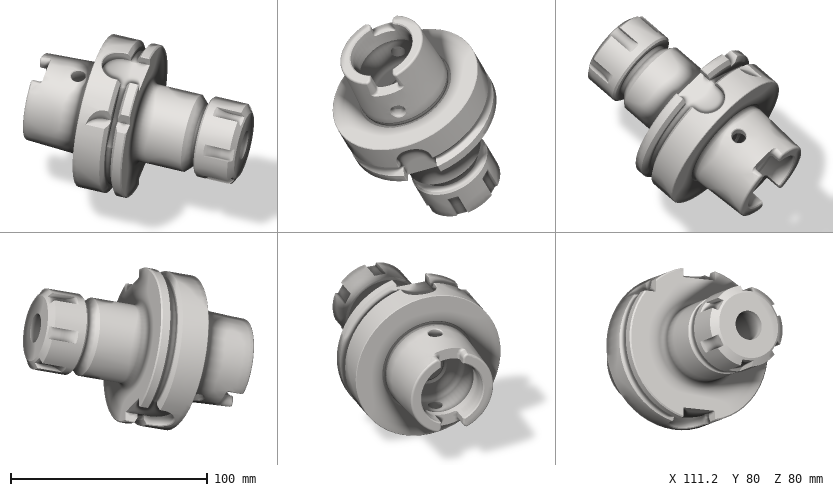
import cadquery as cq
import math


TOLERANCE = 0.01

SHANK_END_RADIUS = 22.7
SHANK_ROUNDING = 1.1
TAPER_END_X = 29.8
TAPER_SLOPE = 0.05
NECK_X = 30.5
NECK_RADIUS = 23.9
UNDERCUT_X = 31.7
UNDERCUT_DEPTH = 0.5
UNDERCUT_RADIUS = 23.7
UNDERCUT_FLOOR_RADIUS = 24.8
UNDERCUT_RIM_RADIUS = 25.4

FLANGE_X = 32.0
FLANGE_END_X = 58.1
FLANGE_RADIUS = 80.0 / 2
FLANGE_CHAMFER_FRONT = 0.3
FLANGE_CHAMFER_BACK = 0.7
GROOVE_RADIUS = 34.9
GROOVE_FLANK_RADIUS = 37.3
GROOVE_X = 48.1
GROOVE_WIDTH = 3.6
GROOVE_FLANK_LENGTH = 1.7

BODY_RADIUS = 20.2
BODY_FILLET = 2.9
BODY_END_X = 83.9
NOSE_X = 88.1
NOSE_RADIUS = 32.0 / 2
NOSE_END_X = 106.8

SHANK_BORE_RADIUS = 34.0 / 2
SHANK_BORE_DEPTH = 30.0
SHANK_BORE_CHAMFER = 0.6
CLAMP_GROOVE_X = 12.9
CLAMP_GROOVE_RADIUS = 18.5
CLAMP_CONE_ANGLE = 45
SHANK_BORE_FILLET = 2.7
SCREW_RADIUS = 16.9 / 2
SCREW_COUNTERSINK = 0.9
THROUGH_RADIUS = 15.1 / 2

CROSS_HOLE_X = 22.8
CROSS_HOLE_RADIUS = 7.5 / 2
CROSS_HOLE_CHAMFER = 0.5
DRIVE_SLOT_HALF_WIDTH = 6.0
DRIVE_SLOT_DEPTH_TOP = 5.9
DRIVE_SLOT_DEPTH_BOTTOM = 9.8
DRIVE_SLOT_FLARE = 2.7
DRIVE_SLOT_FILLET = 1.3

CUTOUT_CENTRE_X = 44.8
KEY_SLOT_HALF_WIDTH = 9.0
KEY_SLOT_FLOOR = 33.9
KEY_SLOT_CHAMFER = 0.5
NOTCH_FLOOR_Z = 24.8
NOTCH_WALL_Y = -24.9
NOTCH_RADIUS = 8.7
FLAT_START_Y = -9.5
FLAT_END_Z = 12.8

NUT_X = 90.5
NUT_END_X = 111.2
NUT_RADIUS = 41.9 / 2
NUT_CHAMFER = 1.0
NUT_CONE_X = 108.7
NUT_END_RADIUS = 17.0
NUT_SLOT_COUNT = 6
NUT_SLOT_WIDTH = 6.3
NUT_SLOT_FLOOR = 18.0
NUT_SLOT_START_X = 95.3
NUT_SLOT_FLAT_X = 103.1

SCREW_LENGTH = 16.0
HEX_ACROSS_FLATS = 5.0
HEX_SIDES = 6

SCREW_X = SHANK_BORE_DEPTH + SCREW_COUNTERSINK
SCREW_END_X = SCREW_X + SCREW_LENGTH


def revolve_about_x(profile):
    """Turn a closed profile drawn as (x, radius) about the X axis."""
    return profile.close().revolve(360, (0, 0, 0), (1, 0, 0))


def cylinder_x(radius, start_x, end_x):
    return cq.Workplane("YZ", origin=(start_x, 0, 0)).circle(radius).extrude(end_x - start_x)


def taper_radius(x):
    return SHANK_END_RADIUS + TAPER_SLOPE * x


def select_edges(body, condition):
    return body.newObject([edge for edge in body.edges().vals() if condition(edge)])


def holder_blank():
    rounding_end_radius = taper_radius(SHANK_ROUNDING)
    groove_end_x = GROOVE_X + GROOVE_WIDTH
    undercut_x = FLANGE_X + UNDERCUT_DEPTH
    profile = (
        cq.Workplane("XY")
        .moveTo(0, 0)
        .lineTo(0, rounding_end_radius - SHANK_ROUNDING)
        .radiusArc((SHANK_ROUNDING, rounding_end_radius), SHANK_ROUNDING)
        .lineTo(TAPER_END_X, taper_radius(TAPER_END_X))
        .lineTo(NECK_X, NECK_RADIUS)
        .lineTo(UNDERCUT_X, NECK_RADIUS)
        .lineTo(undercut_x, UNDERCUT_RADIUS)
        .lineTo(undercut_x, UNDERCUT_FLOOR_RADIUS)
        .lineTo(FLANGE_X, UNDERCUT_RIM_RADIUS)
        .lineTo(FLANGE_X, FLANGE_RADIUS - FLANGE_CHAMFER_FRONT)
        .lineTo(FLANGE_X + FLANGE_CHAMFER_FRONT, FLANGE_RADIUS)
        .lineTo(GROOVE_X - GROOVE_FLANK_LENGTH, FLANGE_RADIUS)
        .lineTo(GROOVE_X, GROOVE_FLANK_RADIUS)
        .lineTo(GROOVE_X, GROOVE_RADIUS)
        .lineTo(groove_end_x, GROOVE_RADIUS)
        .lineTo(groove_end_x, GROOVE_FLANK_RADIUS)
        .lineTo(groove_end_x + GROOVE_FLANK_LENGTH, FLANGE_RADIUS)
        .lineTo(FLANGE_END_X - FLANGE_CHAMFER_BACK, FLANGE_RADIUS)
        .lineTo(FLANGE_END_X, FLANGE_RADIUS - FLANGE_CHAMFER_BACK)
        .lineTo(FLANGE_END_X, BODY_RADIUS + BODY_FILLET)
        .radiusArc((FLANGE_END_X + BODY_FILLET, BODY_RADIUS), -BODY_FILLET)
        .lineTo(BODY_END_X, BODY_RADIUS)
        .lineTo(NOSE_X, NOSE_RADIUS)
        .lineTo(NOSE_END_X, NOSE_RADIUS)
        .lineTo(NOSE_END_X, 0)
    )
    return revolve_about_x(profile)


def holder_bore():
    """Shank bore with clamping groove, countersunk screw seat and through bore as one cutter."""
    groove_depth = CLAMP_GROOVE_RADIUS - SHANK_BORE_RADIUS
    cone_length = groove_depth / math.tan(math.radians(CLAMP_CONE_ANGLE))
    profile = (
        cq.Workplane("XY")
        .moveTo(0, 0)
        .lineTo(0, SHANK_BORE_RADIUS + SHANK_BORE_CHAMFER)
        .lineTo(SHANK_BORE_CHAMFER, SHANK_BORE_RADIUS)
        .lineTo(CLAMP_GROOVE_X, SHANK_BORE_RADIUS)
        .lineTo(CLAMP_GROOVE_X + cone_length, CLAMP_GROOVE_RADIUS)
        .lineTo(SHANK_BORE_DEPTH - SHANK_BORE_FILLET, CLAMP_GROOVE_RADIUS)
        .radiusArc((SHANK_BORE_DEPTH, CLAMP_GROOVE_RADIUS - SHANK_BORE_FILLET), SHANK_BORE_FILLET)
        .lineTo(SHANK_BORE_DEPTH, SCREW_RADIUS + SCREW_COUNTERSINK)
        .lineTo(SCREW_X, SCREW_RADIUS)
        .lineTo(SCREW_END_X, SCREW_RADIUS)
        .lineTo(SCREW_END_X, THROUGH_RADIUS)
        .lineTo(NOSE_END_X, THROUGH_RADIUS)
        .lineTo(NOSE_END_X, 0)
    )
    return revolve_about_x(profile)


def drill_cross_hole(holder):
    """Radial hole through both shank walls, chamfered at the outer surface."""
    half_length = FLANGE_RADIUS
    hole = (
        cq.Workplane("XY", origin=(CROSS_HOLE_X, 0, -half_length))
        .circle(CROSS_HOLE_RADIUS)
        .extrude(2 * half_length)
    )
    holder = holder.cut(hole)

    def is_outer_rim(edge):
        box = edge.BoundingBox()
        centred = abs(box.center.x - CROSS_HOLE_X) < TOLERANCE and box.ylen > CROSS_HOLE_RADIUS
        hole_sized = box.xlen < 2 * CROSS_HOLE_RADIUS + TOLERANCE
        return centred and hole_sized and abs(box.center.z) > CLAMP_GROOVE_RADIUS + CROSS_HOLE_CHAMFER

    return select_edges(holder, is_outer_rim).chamfer(CROSS_HOLE_CHAMFER)


def is_slot_wall_edge(edge, x, limit_y):
    """True for the edges of the slot walls that lie at the given x."""
    box = edge.BoundingBox()
    middle_y = abs(edge.positionAt(0.5).y)
    at_x = abs(box.xmin - x) < TOLERANCE and box.xlen < TOLERANCE
    on_wall = DRIVE_SLOT_HALF_WIDTH - TOLERANCE < middle_y < limit_y - TOLERANCE
    return at_x and on_wall


def drive_slot(side, depth):
    """Slot in the shank end with flared walls; side is +1 for the +Z wall and -1 for the -Z wall."""
    half = DRIVE_SLOT_HALF_WIDTH
    flare = DRIVE_SLOT_FLARE
    flare_y = half + flare
    flare_z = math.sqrt((taper_radius(depth) - flare) ** 2 - flare_y ** 2)
    tip_angle = math.atan2(flare_z, flare_y)
    middle_angle = (math.pi + tip_angle) / 2

    def on_flare(angle):
        return (flare_y + flare * math.cos(angle), side * (flare_z + flare * math.sin(angle)))

    tip_y, tip_z = on_flare(tip_angle)
    runout_y = tip_y + flare * math.sin(tip_angle)
    runout_z = tip_z - side * flare * math.cos(tip_angle)
    outer_z = side * FLANGE_RADIUS
    half_slot = (
        cq.Workplane("YZ")
        .lineTo(half, 0)
        .lineTo(half, side * flare_z)
        .threePointArc(on_flare(middle_angle), (tip_y, tip_z))
        .lineTo(runout_y, runout_z)
        .lineTo(runout_y, outer_z)
        .lineTo(0, outer_z)
        .close()
        .extrude(depth)
    )
    slot = half_slot.union(half_slot.mirror("XZ"))
    slot = select_edges(slot, lambda edge: is_slot_wall_edge(edge, depth, runout_y))
    slot = slot.fillet(DRIVE_SLOT_FILLET)
    outside = cq.Workplane("YZ").rect(2 * FLANGE_RADIUS, 2 * FLANGE_RADIUS).extrude(-SHANK_ROUNDING)
    slot = slot.union(outside)
    slot = select_edges(slot, lambda edge: is_slot_wall_edge(edge, 0, runout_y))
    return slot.fillet(SHANK_ROUNDING)


def flange_slot(half_width, floor, side, centre_y):
    """Round-ended cutter open towards +X, cut down to a flat floor."""
    return (
        cq.Workplane("XY", origin=(CUTOUT_CENTRE_X, centre_y, side * floor))
        .moveTo(0, half_width)
        .threePointArc((-half_width, 0), (0, -half_width))
        .lineTo(FLANGE_END_X - CUTOUT_CENTRE_X, -half_width)
        .lineTo(FLANGE_END_X - CUTOUT_CENTRE_X, half_width)
        .close()
        .extrude(side * FLANGE_RADIUS)
    )


def groove_flat():
    """Cutter for the flat on the groove bottom between the key slot and the notch."""
    start = (FLAT_START_Y, math.sqrt(GROOVE_RADIUS ** 2 - FLAT_START_Y ** 2))
    end = (-math.sqrt(GROOVE_RADIUS ** 2 - FLAT_END_Z ** 2), FLAT_END_Z)
    return (
        cq.Workplane("YZ", origin=(GROOVE_X, 0, 0))
        .moveTo(*start)
        .lineTo(*end)
        .radiusArc(start, GROOVE_RADIUS)
        .close()
        .extrude(GROOVE_WIDTH)
    )


def is_key_slot_rim(edge):
    """True for the edges where a key slot wall meets the flange rim cylinder."""
    middle = edge.positionAt(0.5)
    box = edge.BoundingBox()
    on_rim = abs(math.hypot(middle.y, middle.z) - FLANGE_RADIUS) < TOLERANCE
    return on_rim and box.xlen > TOLERANCE and abs(middle.y) < KEY_SLOT_HALF_WIDTH + TOLERANCE


def make_holder():
    holder = holder_blank()
    for side in (1, -1):
        holder = holder.cut(flange_slot(KEY_SLOT_HALF_WIDTH, KEY_SLOT_FLOOR, side, 0))
    holder = select_edges(holder, is_key_slot_rim).chamfer(KEY_SLOT_CHAMFER)
    holder = holder.cut(flange_slot(NOTCH_RADIUS, NOTCH_FLOOR_Z, 1, NOTCH_WALL_Y - NOTCH_RADIUS))
    holder = holder.cut(groove_flat())
    holder = holder.cut(drive_slot(1, DRIVE_SLOT_DEPTH_TOP))
    holder = holder.cut(drive_slot(-1, DRIVE_SLOT_DEPTH_BOTTOM))
    return drill_cross_hole(holder.cut(holder_bore()))


def nut_slot():
    """Spanner slot at +Z: a flat floor that runs out in an arc."""
    rise = NUT_RADIUS - NUT_SLOT_FLOOR
    run = NUT_SLOT_FLAT_X - NUT_SLOT_START_X
    runout_radius = (run ** 2 + rise ** 2) / (2 * rise)
    return (
        cq.Workplane("XZ", origin=(0, NUT_SLOT_WIDTH / 2, 0))
        .moveTo(NUT_END_X, NUT_SLOT_FLOOR)
        .lineTo(NUT_SLOT_FLAT_X, NUT_SLOT_FLOOR)
        .radiusArc((NUT_SLOT_START_X, NUT_RADIUS), runout_radius)
        .lineTo(NUT_END_X, NUT_RADIUS)
        .close()
        .extrude(NUT_SLOT_WIDTH)
    )


def make_nut():
    profile = (
        cq.Workplane("XY")
        .moveTo(NUT_X, NOSE_RADIUS)
        .lineTo(NUT_X, NUT_RADIUS - NUT_CHAMFER)
        .lineTo(NUT_X + NUT_CHAMFER, NUT_RADIUS)
        .lineTo(NUT_CONE_X, NUT_RADIUS)
        .lineTo(NUT_END_X, NUT_END_RADIUS)
        .lineTo(NUT_END_X, THROUGH_RADIUS)
        .lineTo(NOSE_END_X, THROUGH_RADIUS)
        .lineTo(NOSE_END_X, NOSE_RADIUS)
    )
    nut = revolve_about_x(profile)
    slot = nut_slot()
    for index in range(NUT_SLOT_COUNT):
        nut = nut.cut(slot.rotate((0, 0, 0), (1, 0, 0), index * 360 / NUT_SLOT_COUNT))
    return nut


def make_stop_screw():
    screw = cylinder_x(SCREW_RADIUS, SCREW_X, SCREW_END_X)
    screw = screw.faces("<X").chamfer(SCREW_COUNTERSINK)
    hex_diameter = HEX_ACROSS_FLATS / math.cos(math.pi / HEX_SIDES)
    hexagon = (
        cq.Workplane("YZ", origin=(SCREW_X, 0, 0))
        .transformed(rotate=(0, 0, 180 / HEX_SIDES))
        .polygon(HEX_SIDES, hex_diameter)
        .extrude(SCREW_LENGTH)
    )
    return screw.cut(hexagon)


holder = make_holder()
nut = make_nut()
stop_screw = make_stop_screw()

result = cq.Compound.makeCompound([holder.val(), nut.val(), stop_screw.val()])